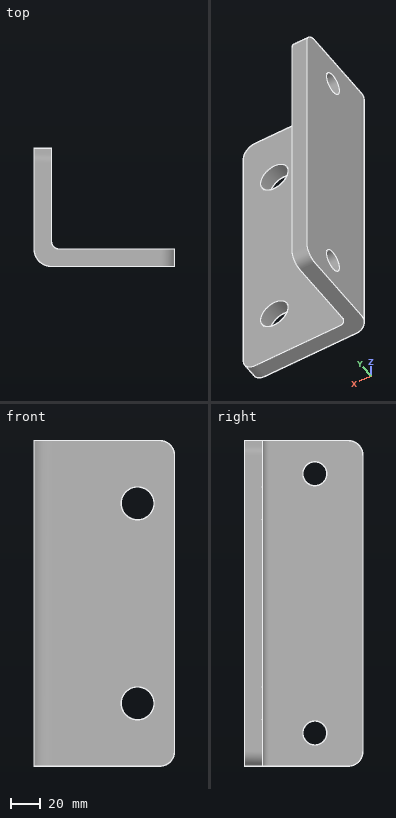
import cadquery as cq

width_x = 95.0
depth_y = 80.0
height = 220.0
thickness = 12.0

outer_bend_radius = 12.0
inner_bend_radius = 5.0
corner_radius = 10.0

large_hole_diameter = 22.0
large_hole_x = 70.0
large_hole_spacing = 135.0

small_hole_diameter = 16.0
small_hole_y = 47.5
small_hole_spacing = 175.0


def angle_body():
    """L-shaped profile extruded to full height, with the bend rounded."""
    body = (
        cq.Workplane("XY")
        .moveTo(0, 0)
        .lineTo(width_x, 0)
        .lineTo(width_x, thickness)
        .lineTo(thickness, thickness)
        .lineTo(thickness, depth_y)
        .lineTo(0, depth_y)
        .close()
        .extrude(height)
    )
    outer_corner = cq.selectors.NearestToPointSelector((0, 0, height / 2))
    inner_corner = cq.selectors.NearestToPointSelector((thickness, thickness, height / 2))
    body = body.edges(inner_corner).fillet(inner_bend_radius)
    return body.edges(outer_corner).fillet(outer_bend_radius)


def round_free_corners(body):
    """Round the top and bottom corners at the free end of each leg."""
    body = body.faces(">X").edges("|Y").fillet(corner_radius)
    return body.faces(">Y").edges("|X").fillet(corner_radius)


def hole_pair(plane, position, spacing, diameter, cut_distance):
    """Two cylinders through one leg, centred on the mid height."""
    mid_height = height / 2
    centres = [(position, mid_height + side * spacing / 2) for side in (-1, 1)]
    return cq.Workplane(plane).pushPoints(centres).circle(diameter / 2).extrude(cut_distance)


large_holes = hole_pair("XZ", large_hole_x, large_hole_spacing, large_hole_diameter, -thickness)
small_holes = hole_pair("YZ", small_hole_y, small_hole_spacing, small_hole_diameter, thickness)

result = round_free_corners(angle_body()).cut(large_holes).cut(small_holes)